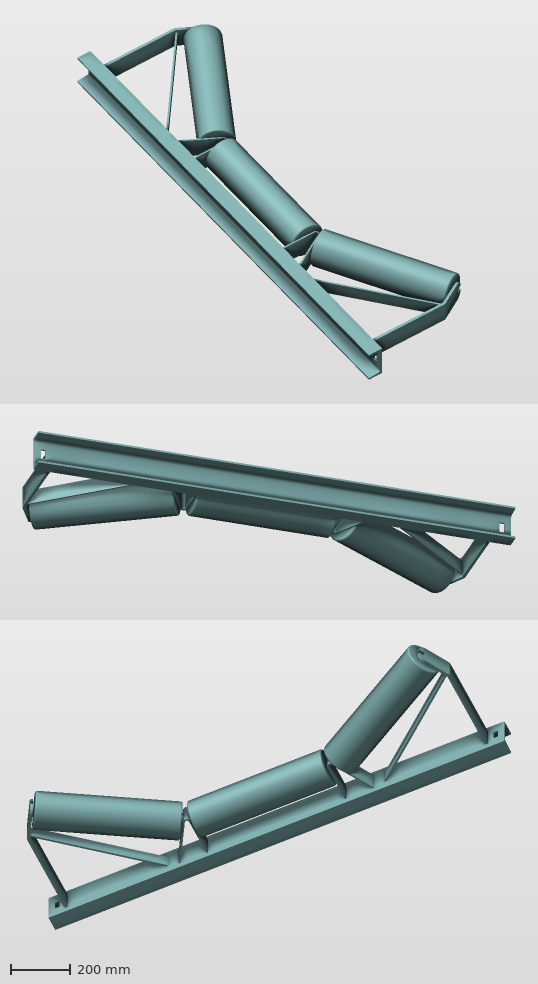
import cadquery as cq
import math

BEAM_LENGTH = 1700.0
BEAM_HEIGHT = 120.0
FLANGE_WIDTH = 55.0
WEB_THICKNESS = 7.0
FLANGE_TIP_THICKNESS = 7.0
FLANGE_TAPER = 0.08
ROOT_RADIUS = 8.0
BOLT_SLOT_WIDTH = 17.0
BOLT_SLOT_HEIGHT = 35.0
BOLT_SLOT_X = 818.0

ROLLER_LENGTH = 500.0
ROLLER_RADIUS = 66.0
ROLLER_EDGE_RADIUS = 6.0
SHAFT_SIZE = 19.0
CENTER_ROLLER_Y = 117.0
SIDE_ROLLER_X = -512.0
SIDE_ROLLER_Y = 255.0
TROUGH_ANGLE = 30.0

END_GAP = 5.0
BRACKET_WIDTH = 76.0
OUTER_THICKNESS = 10.0
INNER_THICKNESS = 6.0
OUTER_POST_X = -789.0
OUTER_TIP_ABOVE_AXIS = 32.0
OUTER_TIP_RADIUS = 29.0
OUTER_BEND_RADIUS = 12.0
INNER_BEND_RADIUS = 14.0
BRACE_THICKNESS = 6.5
BRACE_WIDTH = 51.0
BRACE_FOOT_X = -401.0

HALF_ROLLER = ROLLER_LENGTH / 2
SLOPE = math.radians(TROUGH_ANGLE)
OUTER_SHAFT_REACH = END_GAP + OUTER_THICKNESS
INNER_SHAFT_REACH = END_GAP + INNER_THICKNESS


def side_point(along, across):
    """XY point given along and across the axis of the left side roller."""
    x = SIDE_ROLLER_X + along * math.cos(SLOPE) + across * math.sin(SLOPE)
    y = SIDE_ROLLER_Y - along * math.sin(SLOPE) + across * math.cos(SLOPE)
    return (x, y)


def side_face_y(along, x):
    """Y at which the plane square to the side roller axis at `along` crosses X = x."""
    start_x, start_y = side_point(along, 0)
    return start_y + (x - start_x) / math.tan(SLOPE)


def side_face_x(along, y):
    """X at which the plane square to the side roller axis at `along` crosses Y = y."""
    start_x, start_y = side_point(along, 0)
    return start_x + (y - start_y) * math.tan(SLOPE)


def place_on_side(shape):
    """Move a shape built along X at the origin onto the left side roller axis."""
    turned = shape.rotate((0, 0, 0), (0, 0, 1), -TROUGH_ANGLE)
    return turned.translate((SIDE_ROLLER_X, SIDE_ROLLER_Y, 0))


def plate(outline, width):
    """Close an XY outline and thicken it evenly about the Z = 0 plane."""
    return outline.close().extrude(width / 2, both=True)


def edge_at(x, y, z=0):
    """Selector for the edge whose middle is nearest to this point."""
    return cq.selectors.NearestToPointSelector((x, y, z))


def make_beam():
    half = BEAM_HEIGHT / 2
    root_thickness = FLANGE_TIP_THICKNESS + FLANGE_TAPER * (FLANGE_WIDTH - WEB_THICKNESS)
    profile = (
        cq.Workplane("YZ")
        .moveTo(0, -half)
        .lineTo(-FLANGE_WIDTH, -half)
        .lineTo(-FLANGE_WIDTH, -half + FLANGE_TIP_THICKNESS)
        .lineTo(-WEB_THICKNESS, -half + root_thickness)
        .lineTo(-WEB_THICKNESS, half - root_thickness)
        .lineTo(-FLANGE_WIDTH, half - FLANGE_TIP_THICKNESS)
        .lineTo(-FLANGE_WIDTH, half)
        .lineTo(0, half)
    )
    beam = profile.close().extrude(BEAM_LENGTH / 2, both=True)
    for root_z in (-half + root_thickness, half - root_thickness):
        beam = beam.edges(edge_at(0, -WEB_THICKNESS, root_z)).fillet(ROOT_RADIUS)
    slots = (
        cq.Workplane("XZ")
        .pushPoints([(-BOLT_SLOT_X, 0), (BOLT_SLOT_X, 0)])
        .rect(BOLT_SLOT_WIDTH, BOLT_SLOT_HEIGHT)
        .extrude(WEB_THICKNESS)
    )
    return beam.cut(slots)


def make_shaft(left, right):
    """Square shaft on the X axis from X = left to X = right."""
    shaft = cq.Workplane("XY").box(right - left, SHAFT_SIZE, SHAFT_SIZE)
    return shaft.translate(((left + right) / 2, 0, 0))


def make_roller(left_reach, right_reach):
    """Drum along X with a shaft stub of the given reach beyond each end."""
    drum = (
        cq.Workplane("XZ")
        .rect(ROLLER_LENGTH, ROLLER_RADIUS, centered=(True, False))
        .revolve(360, (0, 0), (1, 0))
        .faces("<X or >X")
        .edges()
        .fillet(ROLLER_EDGE_RADIUS)
    )
    return drum.union(make_shaft(-HALF_ROLLER - left_reach, HALF_ROLLER + right_reach))


def make_outer_bracket():
    """Upright post bent to lie square to the side roller, with an open slot for its shaft."""
    inner = -HALF_ROLLER - END_GAP
    outer = inner - OUTER_THICKNESS
    post_inner_x = OUTER_POST_X + OUTER_THICKNESS
    bracket = plate(
        cq.Workplane("XY")
        .moveTo(OUTER_POST_X, 0)
        .lineTo(OUTER_POST_X, side_face_y(outer, OUTER_POST_X))
        .lineTo(*side_point(outer, OUTER_TIP_ABOVE_AXIS))
        .lineTo(*side_point(inner, OUTER_TIP_ABOVE_AXIS))
        .lineTo(post_inner_x, side_face_y(inner, post_inner_x))
        .lineTo(post_inner_x, 0),
        BRACKET_WIDTH,
    )
    bend = edge_at(OUTER_POST_X, side_face_y(outer, OUTER_POST_X))
    inner_bend = edge_at(post_inner_x, side_face_y(inner, post_inner_x))
    bracket = bracket.edges(bend).fillet(OUTER_BEND_RADIUS)
    bracket = bracket.edges(inner_bend).fillet(OUTER_BEND_RADIUS - OUTER_THICKNESS)
    bracket = bracket.faces(">Y").edges("not |Z").edges("<Z or >Z").fillet(OUTER_TIP_RADIUS)
    slot_height = OUTER_TIP_ABOVE_AXIS + SHAFT_SIZE / 2
    slot = (
        cq.Workplane("XY")
        .box(OUTER_THICKNESS, slot_height, SHAFT_SIZE)
        .translate(((inner + outer) / 2, OUTER_TIP_ABOVE_AXIS - slot_height / 2, 0))
    )
    return bracket.cut(place_on_side(slot))


def make_inner_bracket():
    """Inverted V holding the center roller on its post and the side roller on its sloping leg."""
    outer = HALF_ROLLER + END_GAP
    post_x = -HALF_ROLLER - END_GAP
    foot_outer = side_face_x(outer, 0)
    foot_inner = side_face_x(outer + INNER_THICKNESS, 0)
    apex = (post_x, side_face_y(outer, post_x))
    inner_apex_x = post_x - INNER_THICKNESS
    inner_apex = (inner_apex_x, side_face_y(outer + INNER_THICKNESS, inner_apex_x))
    bracket = plate(
        cq.Workplane("XY")
        .moveTo(foot_outer, 0)
        .lineTo(*apex)
        .lineTo(post_x, 0)
        .lineTo(inner_apex_x, 0)
        .lineTo(*inner_apex)
        .lineTo(foot_inner, 0),
        BRACKET_WIDTH,
    )
    bracket = bracket.edges(edge_at(*apex)).fillet(INNER_BEND_RADIUS)
    bracket = bracket.edges(edge_at(*inner_apex)).fillet(INNER_BEND_RADIUS - INNER_THICKNESS)
    side_shaft = place_on_side(make_shaft(0, HALF_ROLLER + INNER_SHAFT_REACH))
    center_shaft = make_shaft(-HALF_ROLLER - INNER_SHAFT_REACH, 0).translate((0, CENTER_ROLLER_Y, 0))
    return bracket.cut(side_shaft).cut(center_shaft)


def make_brace(outer_bracket):
    """Strut whose underside starts at the inner bend of the outer bracket and ends on the web."""
    post_x = OUTER_POST_X + OUTER_THICKNESS
    bend_y = side_face_y(-HALF_ROLLER - END_GAP, post_x)
    angle = math.atan2(bend_y, BRACE_FOOT_X - post_x)
    rise = BRACE_THICKNESS / math.cos(angle)
    run = BRACE_THICKNESS / math.sin(angle)
    brace = plate(
        cq.Workplane("XY")
        .moveTo(post_x, bend_y)
        .lineTo(BRACE_FOOT_X - run, 0)
        .lineTo(BRACE_FOOT_X, 0)
        .lineTo(post_x, bend_y + rise),
        BRACE_WIDTH,
    )
    return brace.cut(outer_bracket)


beam = make_beam()
center_roller = make_roller(INNER_SHAFT_REACH, INNER_SHAFT_REACH).translate((0, CENTER_ROLLER_Y, 0))
side_roller = place_on_side(make_roller(OUTER_SHAFT_REACH, INNER_SHAFT_REACH))
outer_bracket = make_outer_bracket()
inner_bracket = make_inner_bracket()
brace = make_brace(outer_bracket)

bodies = [beam.solids().val(), center_roller.solids().val()]
for left_body in (side_roller, outer_bracket, inner_bracket, brace):
    right_body = left_body.mirror("YZ")
    bodies += [left_body.solids().val(), right_body.solids().val()]

result = cq.Compound.makeCompound(bodies)